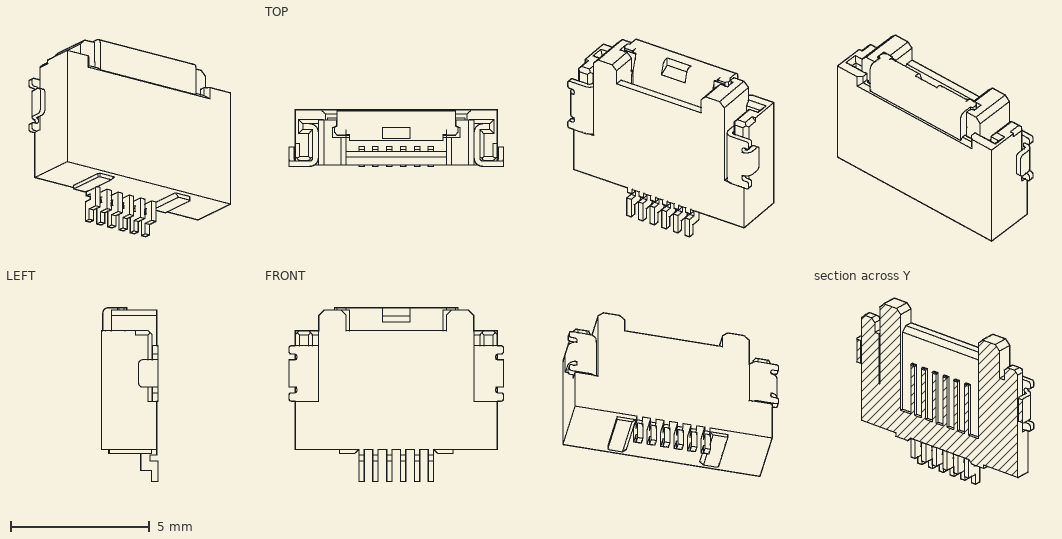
import cadquery as cq
BASE_HALF_WIDTH = 3.65
BASE_DEPTH = 2.0
BASE_HEIGHT = 4.3
TOWER_HALF_WIDTH = 2.8
TOWER_DEPTH = 1.635
TOWER_TOP = 5.05
TOWER_CHAMFER = 0.2

CAVITY_HALF_WIDTH = 1.81
CAVITY_FRONT = 0.49
CAVITY_BACK = 1.0
CAVITY_FLOOR = 1.0
LEAD_IN = 0.19

SLOT_HALF_WIDTH = 2.3
SLOT_NECK_HALF_WIDTH = 2.16
SLOT_NECK_Y = 1.36
SLOT_SLOPE_START = 2.26
SLOT_SLOPE_END_Y = 1.42

RECESS_HALF_WIDTH = 2.56
RECESS_DEPTH = 0.3
RECESS_BEVEL_Y = 1.845
RECESS_BEVEL = 0.14

CLEARANCE_HALF_WIDTH = 2.49
CLEARANCE_BACK = 1.7
CLEARANCE_DEPTH = 0.1

COVER_TOP = 5.13
COVER_BACK = 1.95
COVER_FRONT = 1.08
COVER_HALF_WIDTH = 2.14
COVER_BACK_RADIUS = 0.2
WING_HALF_WIDTH = 2.23
WING_BACK = 1.41
WING_BACK_SLOPE = 0.05
WING_FRONT_CHAMFER = 0.105
ROLL_DEPTH = 0.18
ROLL_HEIGHT = 0.14
TONGUE_HALF_WIDTH = 1.68
TONGUE_FRONT = 0.887
TONGUE_SLOPE_BOTTOM = 4.385
SHOULDER_FRONT = 1.065
NOTCH_HALF_WIDTH = 0.505
NOTCH_BACK = 1.354
NOTCH_STEP = 4.82
NOTCH_BOTTOM = 4.615
NOTCH_FRONT = 0.953

PIN_COUNT = 6
PIN_PITCH = 0.5
PIN_WIDTH = 0.2
PIN_FOOT_FRONT = -0.05
PIN_FOOT_BACK = 0.19
PIN_BOTTOM = -1.15
PIN_BACK = 0.585
PIN_KNEE = -0.75
PIN_NOTCH_TOP = -0.19
PIN_NOTCH_BOTTOM = -0.4
PIN_NOTCH_DEPTH = 0.237
BLADE_TOP = 3.0
BLADE_BACK = 0.68
BLADE_TIP = 0.56

PAD_OUTER = 2.05
PAD_INNER = 1.36
PAD_FRONT = 0.187
PAD_BACK = 1.75
PAD_HEIGHT = 0.14
PAD_CORNER = 0.05

CLIP_BOTTOM = 1.75
CLIP_TOP = 3.76
CLIP_OUTER = 3.875
CLIP_INNER = 2.815
CLIP_FRONT = -0.05
CLIP_THICKNESS = 0.2
CLIP_BEND_RADIUS = 0.31
CLIP_HOOK_END = 3.375
CLIP_HOOK_BACK = 1.494
TAB_BOTTOM = 2.26
TAB_TOP = 3.25
TAB_BACK = 0.655
TAB_BEND_RADIUS = 0.28
TAB_CORNER_RADIUS = 0.15
EAR_HEIGHT = 0.305
EAR_CORNER_RADIUS = 0.09
RELIEF_X = 3.585
RELIEF_RADIUS = 0.1

POST_INNER = 3.015
POST_FRONT = 0.163
POST_CHAMFER = 0.15
POST_SIDE_BEVEL_BACK = 0.775
SEAT_LEAD_IN = 0.16


def box(x0, x1, y0, y1, z0, z1):
    """Box between two opposite corners."""
    return cq.Workplane("XY").box(x1 - x0, y1 - y0, z1 - z0, centered=False).translate((x0, y0, z0))


def centred_box(half_width, y0, y1, z0, z1):
    """Box symmetric about X = 0."""
    return box(-half_width, half_width, y0, y1, z0, z1)


def yz_prism(points, half_width):
    """Outline of (y, z) points extruded symmetrically along X."""
    return cq.Workplane("YZ").polyline(points).close().extrude(half_width, both=True)


def mirrored(shape):
    """The copy of a right-hand (+X) shape on the left-hand side."""
    return shape.mirror("YZ")


def make_housing():
    base = centred_box(BASE_HALF_WIDTH, 0, BASE_DEPTH, 0, BASE_HEIGHT)
    tower = centred_box(TOWER_HALF_WIDTH, 0, TOWER_DEPTH, 0, TOWER_TOP)
    tower = tower.edges("|Y and >Z").chamfer(TOWER_CHAMFER)
    return base.union(tower)


def cut_cavity(body):
    cavity = centred_box(CAVITY_HALF_WIDTH, CAVITY_FRONT, CAVITY_BACK, CAVITY_FLOOR, TOWER_TOP)
    window = centred_box(CAVITY_HALF_WIDTH, 0, CAVITY_BACK, BASE_HEIGHT, TOWER_TOP)
    lead_in_half_width = CAVITY_HALF_WIDTH + LEAD_IN
    side_lead_in = (
        cq.Workplane("XZ")
        .polyline([
            (-lead_in_half_width, TOWER_TOP),
            (lead_in_half_width, TOWER_TOP),
            (CAVITY_HALF_WIDTH, TOWER_TOP - LEAD_IN),
            (-CAVITY_HALF_WIDTH, TOWER_TOP - LEAD_IN),
        ])
        .close()
        .extrude(-CAVITY_BACK)
    )
    front_lead_in = yz_prism(
        [
            (CAVITY_FRONT - LEAD_IN, BASE_HEIGHT),
            (CAVITY_FRONT, BASE_HEIGHT),
            (CAVITY_FRONT, BASE_HEIGHT - LEAD_IN),
        ],
        CAVITY_HALF_WIDTH,
    )
    back_lead_in = yz_prism(
        [
            (CAVITY_BACK, BASE_HEIGHT),
            (SHOULDER_FRONT, BASE_HEIGHT),
            (CAVITY_BACK, BASE_HEIGHT - LEAD_IN),
        ],
        CAVITY_HALF_WIDTH,
    )
    body = body.cut(cavity).cut(window)
    return body.cut(side_lead_in).cut(front_lead_in).cut(back_lead_in)


def cut_cover_slot(body):
    slot = (
        cq.Workplane("XY", origin=(0, 0, BASE_HEIGHT))
        .polyline([
            (-SLOT_HALF_WIDTH, CAVITY_BACK),
            (SLOT_HALF_WIDTH, CAVITY_BACK),
            (SLOT_HALF_WIDTH, SLOT_NECK_Y),
            (SLOT_SLOPE_START, SLOT_NECK_Y),
            (SLOT_NECK_HALF_WIDTH, SLOT_SLOPE_END_Y),
            (SLOT_NECK_HALF_WIDTH, TOWER_DEPTH),
            (-SLOT_NECK_HALF_WIDTH, TOWER_DEPTH),
            (-SLOT_NECK_HALF_WIDTH, SLOT_SLOPE_END_Y),
            (-SLOT_SLOPE_START, SLOT_NECK_Y),
            (-SLOT_HALF_WIDTH, SLOT_NECK_Y),
        ])
        .close()
        .extrude(TOWER_TOP - BASE_HEIGHT)
    )
    return body.cut(slot)


def cut_back_recess(body):
    floor = BASE_HEIGHT - RECESS_DEPTH
    flare = BASE_DEPTH - RECESS_BEVEL_Y
    recess = (
        cq.Workplane("XY", origin=(0, 0, floor - RECESS_BEVEL))
        .polyline([
            (-RECESS_HALF_WIDTH, TOWER_DEPTH),
            (RECESS_HALF_WIDTH, TOWER_DEPTH),
            (RECESS_HALF_WIDTH, RECESS_BEVEL_Y),
            (RECESS_HALF_WIDTH + flare, BASE_DEPTH),
            (-RECESS_HALF_WIDTH - flare, BASE_DEPTH),
            (-RECESS_HALF_WIDTH, RECESS_BEVEL_Y),
        ])
        .close()
        .extrude(RECESS_DEPTH + RECESS_BEVEL)
    )
    bevelled_floor = yz_prism(
        [
            (0, 0),
            (BASE_DEPTH, 0),
            (BASE_DEPTH, floor - RECESS_BEVEL),
            (RECESS_BEVEL_Y, floor),
            (0, floor),
        ],
        BASE_HALF_WIDTH,
    )
    tower_zone = centred_box(BASE_HALF_WIDTH, 0, TOWER_DEPTH, 0, TOWER_TOP)
    recess = recess.cut(bevelled_floor).cut(tower_zone)
    clearance = centred_box(
        CLEARANCE_HALF_WIDTH, TOWER_DEPTH, CLEARANCE_BACK, floor - CLEARANCE_DEPTH, floor
    )
    return body.cut(recess).cut(clearance)


def make_cover():
    bottom = BASE_HEIGHT - RECESS_DEPTH - RECESS_BEVEL
    plate = centred_box(COVER_HALF_WIDTH, COVER_FRONT, COVER_BACK, bottom, COVER_TOP)
    plate = plate.edges("|X and >Y and >Z").fillet(COVER_BACK_RADIUS)
    front_edge = WING_HALF_WIDTH - WING_FRONT_CHAMFER
    wings = (
        cq.Workplane("XY", origin=(0, 0, bottom))
        .polyline([
            (-front_edge, COVER_FRONT),
            (front_edge, COVER_FRONT),
            (WING_HALF_WIDTH, COVER_FRONT + WING_FRONT_CHAMFER),
            (WING_HALF_WIDTH, WING_BACK - WING_BACK_SLOPE),
            (COVER_HALF_WIDTH, WING_BACK),
            (-COVER_HALF_WIDTH, WING_BACK),
            (-WING_HALF_WIDTH, WING_BACK - WING_BACK_SLOPE),
            (-WING_HALF_WIDTH, COVER_FRONT + WING_FRONT_CHAMFER),
        ])
        .close()
        .extrude(COVER_TOP - bottom)
    )
    cover = plate.union(wings).cut(make_roll_cutter())
    return cover.union(make_tongue()).union(make_shoulders()).cut(make_notch())


def make_roll_cutter():
    """Removes the top front edge of the cover, leaving a rounded lip."""
    tangent_radius = (ROLL_DEPTH**2 + ROLL_HEIGHT**2) / (2 * ROLL_HEIGHT)
    return (
        cq.Workplane("YZ")
        .moveTo(COVER_FRONT, COVER_TOP - ROLL_HEIGHT)
        .radiusArc((COVER_FRONT + ROLL_DEPTH, COVER_TOP), tangent_radius)
        .lineTo(COVER_FRONT, COVER_TOP)
        .close()
        .extrude(CAVITY_HALF_WIDTH, both=True)
    )


def make_shoulders():
    """Upright faces beside the tongue, below the ends of the lip."""
    lip_back = COVER_FRONT + ROLL_DEPTH
    shoulders = centred_box(COVER_HALF_WIDTH, SHOULDER_FRONT, lip_back, BASE_HEIGHT, TOWER_TOP)
    tongue_gap = centred_box(TONGUE_HALF_WIDTH, 0, BASE_DEPTH, BASE_HEIGHT, TOWER_TOP)
    return shoulders.cut(tongue_gap)


def make_tongue():
    """Sloped guide below the lip, continuing down as the back wall of the cavity."""
    return yz_prism(
        [
            (COVER_FRONT, COVER_TOP - ROLL_HEIGHT),
            (TONGUE_FRONT, TONGUE_SLOPE_BOTTOM),
            (TONGUE_FRONT, CAVITY_FLOOR),
            (COVER_FRONT, CAVITY_FLOOR),
        ],
        TONGUE_HALF_WIDTH,
    )


def make_notch():
    return yz_prism(
        [
            (NOTCH_BACK, COVER_TOP),
            (NOTCH_BACK, NOTCH_STEP),
            (NOTCH_FRONT, NOTCH_BOTTOM),
            (TONGUE_FRONT, NOTCH_BOTTOM),
            (TONGUE_FRONT, COVER_TOP),
        ],
        NOTCH_HALF_WIDTH,
    )


def make_contacts():
    """Row of contacts, each a blade on the front cavity wall and a stepped solder foot."""
    foot_outline = [
        (0, 0),
        (0, PIN_NOTCH_TOP),
        (PIN_NOTCH_DEPTH, PIN_NOTCH_TOP),
        (PIN_NOTCH_DEPTH, PIN_NOTCH_BOTTOM),
        (PIN_FOOT_FRONT, PIN_NOTCH_BOTTOM),
        (PIN_FOOT_FRONT, PIN_BOTTOM),
        (PIN_FOOT_BACK, PIN_BOTTOM),
        (PIN_FOOT_BACK, PIN_KNEE),
        (PIN_BACK, PIN_KNEE),
        (PIN_BACK, 0),
    ]
    blade_bevel = BLADE_BACK - BLADE_TIP
    blade_outline = [
        (CAVITY_FRONT, CAVITY_FLOOR),
        (BLADE_BACK, CAVITY_FLOOR),
        (BLADE_BACK, BLADE_TOP - blade_bevel),
        (BLADE_TIP, BLADE_TOP),
        (CAVITY_FRONT, BLADE_TOP),
    ]
    contact = yz_prism(foot_outline, PIN_WIDTH / 2).union(yz_prism(blade_outline, PIN_WIDTH / 2))
    row = cq.Workplane("XY")
    for index in range(PIN_COUNT):
        x = (index - (PIN_COUNT - 1) / 2) * PIN_PITCH
        row = row.union(contact.translate((x, 0, 0)))
    return row


def make_pad():
    """Right-hand pad under the base, bevelled toward the contacts."""
    pad = (
        cq.Workplane("XZ", origin=(0, PAD_FRONT, 0))
        .polyline([
            (PAD_INNER, 0),
            (PAD_OUTER, 0),
            (PAD_OUTER, -PAD_HEIGHT),
            (PAD_INNER + PAD_HEIGHT, -PAD_HEIGHT),
        ])
        .close()
        .extrude(PAD_FRONT - PAD_BACK)
    )
    return pad.edges("|Z and >X and >Y").chamfer(PAD_CORNER)


def make_post():
    """Right-hand post of the base that the clip wraps around."""
    back = CLIP_HOOK_BACK - CLIP_THICKNESS
    block = box(POST_INNER, BASE_HALF_WIDTH, POST_FRONT, back, CLIP_BOTTOM, BASE_HEIGHT)
    post = block
    for edge in ("|Z and <Y", "|X and >Z and <Y", "|Y and >Z and <X"):
        post = post.intersect(block.edges(edge).chamfer(POST_CHAMFER))
    side_bevel = (
        cq.Workplane("XZ")
        .polyline([
            (BASE_HALF_WIDTH, BASE_HEIGHT),
            (BASE_HALF_WIDTH - POST_CHAMFER, BASE_HEIGHT),
            (BASE_HALF_WIDTH, BASE_HEIGHT - POST_CHAMFER),
        ])
        .close()
        .extrude(-POST_SIDE_BEVEL_BACK)
    )
    return post.cut(side_bevel)


def make_seat():
    """Space cut from the right side of the base for the clip and around the post."""
    hook_front = CLIP_HOOK_BACK - CLIP_THICKNESS
    front_gap = box(TOWER_HALF_WIDTH, BASE_HALF_WIDTH, 0, hook_front, CLIP_BOTTOM, BASE_HEIGHT)
    hook_slot = box(TOWER_HALF_WIDTH, CLIP_HOOK_END, hook_front, CLIP_HOOK_BACK, CLIP_BOTTOM, BASE_HEIGHT)
    lead_in = (
        cq.Workplane("XY", origin=(0, 0, BASE_HEIGHT))
        .polyline([
            (TOWER_HALF_WIDTH - SEAT_LEAD_IN, hook_front - SEAT_LEAD_IN),
            (CLIP_HOOK_END + SEAT_LEAD_IN, hook_front - SEAT_LEAD_IN),
            (CLIP_HOOK_END + SEAT_LEAD_IN, CLIP_HOOK_BACK + SEAT_LEAD_IN),
            (TOWER_HALF_WIDTH - SEAT_LEAD_IN, CLIP_HOOK_BACK + SEAT_LEAD_IN),
        ])
        .close()
        .extrude(-SEAT_LEAD_IN, taper=45)
    )
    return front_gap.cut(make_post()).union(hook_slot).union(lead_in)


def make_clip():
    """Right-hand sheet-metal clip: hook, upright, front leg with two ears and a folded tab."""
    inner_radius = CLIP_BEND_RADIUS - CLIP_THICKNESS
    sheet = box(CLIP_INNER, CLIP_OUTER, CLIP_FRONT, CLIP_HOOK_BACK, CLIP_BOTTOM, CLIP_TOP)
    sheet = sheet.edges("|Z and <X").fillet(CLIP_BEND_RADIUS)
    hollow = box(
        CLIP_INNER + CLIP_THICKNESS,
        CLIP_OUTER,
        CLIP_FRONT + CLIP_THICKNESS,
        CLIP_HOOK_BACK - CLIP_THICKNESS,
        CLIP_BOTTOM,
        CLIP_TOP,
    )
    hollow = hollow.edges("|Z and <X").fillet(inner_radius)
    beyond_hook = box(
        CLIP_HOOK_END,
        CLIP_OUTER,
        CLIP_FRONT + CLIP_THICKNESS,
        CLIP_HOOK_BACK,
        CLIP_BOTTOM,
        CLIP_TOP,
    )
    sheet = sheet.cut(hollow).cut(beyond_hook)
    tab_zone = box(
        RELIEF_X,
        CLIP_OUTER,
        CLIP_FRONT,
        CLIP_HOOK_BACK,
        CLIP_BOTTOM + EAR_HEIGHT,
        CLIP_TOP - EAR_HEIGHT,
    )
    sheet = sheet.cut(tab_zone).edges("|Y and >X").fillet(EAR_CORNER_RADIUS)
    lower_web = make_relief_web(CLIP_BOTTOM + EAR_HEIGHT, TAB_BOTTOM)
    upper_web = make_relief_web(TAB_TOP, CLIP_TOP - EAR_HEIGHT)
    return sheet.union(lower_web).union(upper_web).union(make_clip_tab())


def make_relief_web(bottom, top):
    """Corner material that rounds the inner end of the gap between the tab and one ear."""
    gap = box(RELIEF_X, CLIP_OUTER, CLIP_FRONT, CLIP_FRONT + CLIP_THICKNESS, bottom, top)
    inner_end = box(
        RELIEF_X,
        RELIEF_X + RELIEF_RADIUS,
        CLIP_FRONT,
        CLIP_FRONT + CLIP_THICKNESS,
        bottom,
        top,
    )
    return inner_end.cut(gap.edges("|Y and <X").fillet(RELIEF_RADIUS))


def make_clip_tab():
    tab = box(RELIEF_X, CLIP_OUTER, CLIP_FRONT, TAB_BACK, TAB_BOTTOM, TAB_TOP)
    tab = tab.edges("|Z and >X and <Y").fillet(TAB_BEND_RADIUS)
    hollow = box(
        RELIEF_X,
        CLIP_OUTER - CLIP_THICKNESS,
        CLIP_FRONT + CLIP_THICKNESS,
        TAB_BACK,
        TAB_BOTTOM,
        TAB_TOP,
    )
    hollow = hollow.edges("|Z and >X and <Y").fillet(TAB_BEND_RADIUS - CLIP_THICKNESS)
    return tab.cut(hollow).edges("|X and >Y").fillet(TAB_CORNER_RADIUS)


housing = make_housing()
seat = make_seat()
housing = housing.cut(seat).cut(mirrored(seat))
tower_core = centred_box(TOWER_HALF_WIDTH, 0, TOWER_DEPTH, 0, BASE_HEIGHT)
housing = housing.union(tower_core)
housing = cut_cavity(housing)
housing = cut_cover_slot(housing)
housing = cut_back_recess(housing)

result = housing.union(make_cover()).union(make_contacts())
for side_part in (make_pad(), make_clip()):
    result = result.union(side_part).union(mirrored(side_part))